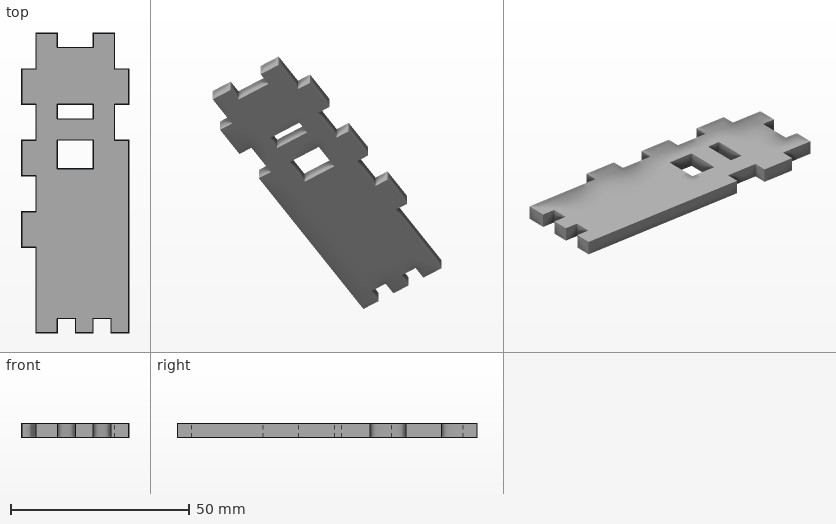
import cadquery as cq

thickness = 4.0
width = 30.0
length = 84.0
joint_depth = thickness
tab_length = 10.0

top_tab_end = length - tab_length
side_tab_count = 3
side_tab_pitch = 2 * tab_length

opening_left = 10.0
opening_width = 10.0
bottom_notch_width = 5.0
bottom_notch_count = 2
bottom_notch_pitch = 2 * bottom_notch_width

slot_top = top_tab_end - tab_length
slot_height = joint_depth
window_top = slot_top - tab_length
window_height = 8.0


def block(left, top, size_x, size_y):
    """Full-thickness block placed by its left and upper edges."""
    return cq.Workplane("XY").box(size_x, size_y, thickness, centered=False).translate(
        (left, top - size_y, 0)
    )


def body():
    """Panel inset on the left, and inset on the right only along its upper part."""
    upper = block(joint_depth, length, width - 2 * joint_depth, length)
    lower = block(joint_depth, window_top, width - joint_depth, window_top)
    return upper.union(lower)


def add_side_tabs(panel):
    """Evenly spaced tabs on the left side and a single one on the right."""
    for index in range(side_tab_count):
        tab_top = top_tab_end - index * side_tab_pitch
        panel = panel.union(block(0, tab_top, joint_depth, tab_length))
    return panel.union(block(width - joint_depth, top_tab_end, joint_depth, tab_length))


def cut_end_notches(panel):
    """One wide notch in the top end and two narrow ones in the bottom end."""
    panel = panel.cut(block(opening_left, length, opening_width, joint_depth))
    for index in range(bottom_notch_count):
        notch_left = opening_left + index * bottom_notch_pitch
        panel = panel.cut(block(notch_left, joint_depth, bottom_notch_width, joint_depth))
    return panel


def cut_windows(panel):
    """Narrow slot and larger window through the panel."""
    panel = panel.cut(block(opening_left, slot_top, opening_width, slot_height))
    return panel.cut(block(opening_left, window_top, opening_width, window_height))


result = cut_windows(cut_end_notches(add_side_tabs(body()))).clean()